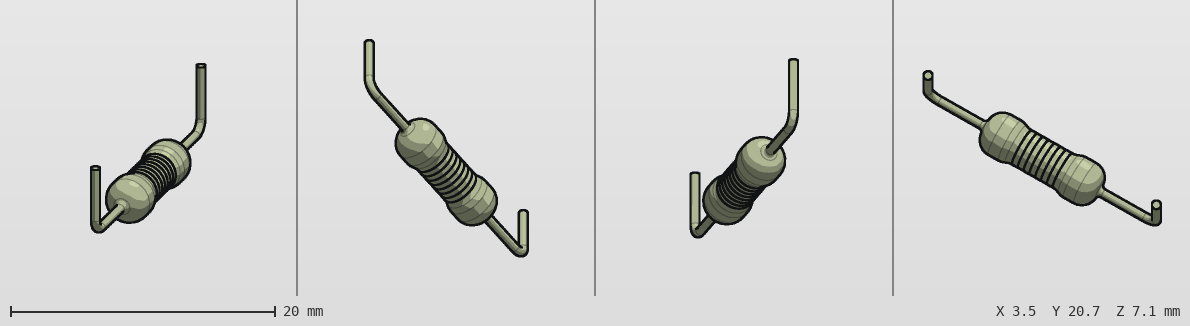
import cadquery as cq
import math

lead_radius = 0.35
lead_half_pitch = 10.0
lead_top = 5.35
bend_radius = 3 * lead_radius

body_half_length = 5.0
cap_radius = 1.75
cap_end_round = 1.25
cap_inner_edge = 2.84
waist_radius = 1.49
lead_fillet = lead_radius

band_radius = 1.5
band_width = 0.51
band_pitch = 2 * band_width
band_count = 4

waist_half_length = (band_count - 1) * band_pitch / 2 + band_width / 2


def arc_point(center, radius, angle):
    """Point (radial, axial) on a circle at an angle measured from the radial direction."""
    return (center[0] + radius * math.cos(angle), center[1] + radius * math.sin(angle))


def body_end():
    """Cap on the +Y side, from the end of the waist to its lead fillet, revolved about Y."""
    blend_length = (cap_inner_edge - waist_half_length) / 2
    blend_rise = (cap_radius - waist_radius) / 2
    blend_radius = (blend_length**2 + blend_rise**2) / (2 * blend_rise)
    blend_angle = math.asin(blend_length / blend_radius)
    concave_center = (waist_radius + blend_radius, waist_half_length)
    convex_center = (cap_radius - blend_radius, cap_inner_edge)

    cap_center = (cap_radius - cap_end_round, body_half_length - cap_end_round)
    fillet_offset = lead_radius + lead_fillet - cap_center[0]
    contact_angle = math.acos(fillet_offset / (cap_end_round + lead_fillet))
    fillet_center = arc_point(cap_center, cap_end_round + lead_fillet, contact_angle)
    fillet_mid_angle = math.pi + contact_angle / 2

    return (
        cq.Workplane("XY")
        .moveTo(0, waist_half_length)
        .lineTo(waist_radius, waist_half_length)
        .threePointArc(
            arc_point(concave_center, blend_radius, math.pi - blend_angle / 2),
            arc_point(concave_center, blend_radius, math.pi - blend_angle),
        )
        .threePointArc(
            arc_point(convex_center, blend_radius, -blend_angle / 2),
            (cap_radius, cap_inner_edge),
        )
        .lineTo(cap_radius, cap_center[1])
        .threePointArc(
            arc_point(cap_center, cap_end_round, contact_angle / 2),
            arc_point(cap_center, cap_end_round, contact_angle),
        )
        .threePointArc(
            arc_point(fillet_center, lead_fillet, fillet_mid_angle),
            (lead_radius, fillet_center[1]),
        )
        .lineTo(0, fillet_center[1])
        .close()
        .revolve(360, (0, 0, 0), (0, 1, 0))
    )


def disc(radius, center_y, length):
    """Cylinder along Y, centred at center_y."""
    return (
        cq.Workplane("XZ", origin=(0, center_y + length / 2, 0))
        .circle(radius)
        .extrude(length)
    )


def lead():
    """Lead on the +Y side: straight out of the body, bent up, straight to its tip."""
    bend_start = lead_half_pitch - bend_radius
    bend_offset = bend_radius * math.sin(math.pi / 4)
    path = (
        cq.Workplane("YZ")
        .moveTo(body_half_length, 0)
        .lineTo(bend_start, 0)
        .threePointArc(
            (bend_start + bend_offset, bend_radius - bend_offset),
            (lead_half_pitch, bend_radius),
        )
        .lineTo(lead_half_pitch, lead_top)
    )
    profile = cq.Workplane("XZ", origin=(0, body_half_length, 0)).circle(lead_radius)
    return profile.sweep(path)


result = disc(waist_radius, 0, 2 * waist_half_length)
for index in range(band_count):
    band_y = (index - (band_count - 1) / 2) * band_pitch
    result = result.union(disc(band_radius, band_y, band_width))

end_with_lead = body_end().union(lead())
result = result.union(end_with_lead).union(end_with_lead.mirror("XZ"))